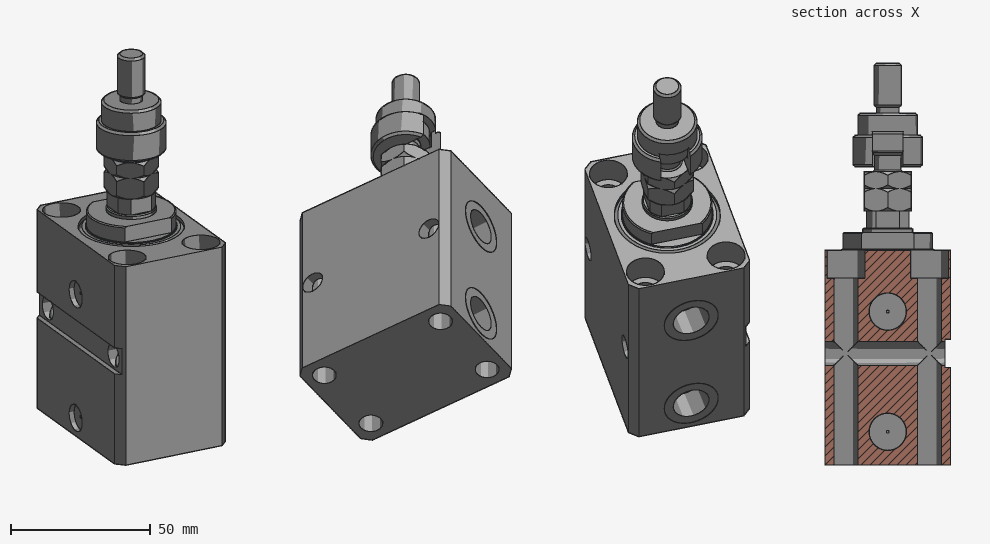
import cadquery as cq
import math


housing_length = 65.0
housing_width = 45.0
housing_height = 77.0
overall_height = 143.9
corner_chamfer = 3.0

hole_pitch_x = 50.1
hole_pitch_y = 30.0
mount_hole_diameter = 8.5
counterbore_diameter = 13.5
counterbore_depth = 10.1
cross_hole_diameter = 8.5
key_slot_height = 10.1
key_slot_depth = 2.0
key_slot_z = -37.0

port_heights = (-22.0, -65.0)
port_diameter = 13.2
port_depth = 11.5
spotface_diameter = 20.0
spotface_depth = 0.1
plug_heights = (-22.0, -70.0)
plug_diameter = 10.0
plug_depth = 2.0
pilot_diameter = 1.0
pilot_depth = 1.5

gland_diameter = 38.0
gland_depth = 14.4
gland_chamfer = 1.3
gland_step_diameter = 33.0
gland_step_height = 0.5
gland_step_chamfer = 0.3
flange_diameter = 32.1
flange_flats = 25.9
flange_top = 6.3
flange_chamfer = 0.5

rod_diameter = 18.0
rod_shoulder_z = 7.9
rod_shoulder_chamfer = 0.5
rod_end_diameter = 17.4
rod_end_flats = 15.3
rod_top = 14.0

hex_flats = 17.0
hex_chamfer = 1.3
lower_hex_height = 8.0
upper_hex_height = 6.0
neck_diameter = 9.6
neck_flare = 0.6
shoulder_height = 0.5
shoulder_taper_height = 1.2
head_diameter = 17.3
head_bottom = 35.4
head_top = 41.6

collar_diameter = 25.0
collar_bottom = 29.8
collar_top = 41.2
collar_chamfer = 0.9
disc_diameter = 21.5
disc_top = 49.0
disc_chamfer = 0.9
relief_diameter = 8.2
relief_top = 51.1
stud_diameter = 10.0
stud_chamfer = 0.9
stud_top = overall_height - housing_height
slot_width = 11.0
slot_top = 42.5
head_bore_diameter = 18.4


def cylinder(diameter, bottom, top):
    """Upright cylinder on the Z axis between two heights."""
    return cq.Workplane("XY").workplane(offset=bottom).circle(diameter / 2).extrude(top - bottom)


def between_flats(flats, width_y, bottom, top):
    """Upright block, used to trim a round shape to its flats."""
    block = cq.Workplane("XY").workplane(offset=bottom)
    return block.rect(flats, width_y).extrude(top - bottom)


def hole_along_x(diameter, height, start, depth):
    """Cutter for a hole drilled into the -X side, from X = start."""
    plane = cq.Workplane("YZ", origin=(start, 0, 0))
    return plane.center(0, height).circle(diameter / 2).extrude(depth)


def hole_along_y(diameter, x, height, start, depth):
    """Cutter for a hole drilled into the -Y side, from Y = start."""
    plane = cq.Workplane("XZ", origin=(0, start, 0))
    return plane.center(x, height).circle(diameter / 2).extrude(-depth)


def chamfered_hexagon(bottom, height):
    """Hexagon with flats facing +-Y and its corners chamfered at both ends."""
    corner_diameter = hex_flats / math.cos(math.pi / 6)
    prism = cq.Workplane("XY").workplane(offset=bottom).polygon(6, corner_diameter).extrude(height)
    envelope = cylinder(corner_diameter, bottom, bottom + height)
    envelope = envelope.faces("<Z or >Z").chamfer(hex_chamfer)
    return prism.intersect(envelope)


def make_housing():
    left = -housing_length / 2
    front = -housing_width / 2
    block = cq.Workplane("XY").rect(housing_length, housing_width).extrude(-housing_height)
    block = block.edges("|Z").chamfer(corner_chamfer)
    block = block.cut(cylinder(gland_diameter, -gland_depth, 0))

    block = (
        block.faces(">Z").workplane(origin=(0, 0, 0))
        .rect(hole_pitch_x, hole_pitch_y, forConstruction=True).vertices()
        .cboreHole(mount_hole_diameter, counterbore_diameter, counterbore_depth)
    )

    key_slot = (
        cq.Workplane("XY")
        .box(housing_length, key_slot_depth, key_slot_height)
        .translate((0, front + key_slot_depth / 2, key_slot_z))
    )
    block = block.cut(key_slot)
    for x in (-hole_pitch_x / 2, hole_pitch_x / 2):
        block = block.cut(hole_along_y(cross_hole_diameter, x, key_slot_z, front, housing_width))

    for height in port_heights:
        block = block.cut(hole_along_x(spotface_diameter, height, left, spotface_depth))
        block = block.cut(hole_along_x(port_diameter, height, left, port_depth))
        block = block.cut(hole_along_x(pilot_diameter, height, left, port_depth + pilot_depth))

    for height in plug_heights:
        block = block.cut(hole_along_y(plug_diameter, 0, height, front, plug_depth))
        block = block.cut(hole_along_y(pilot_diameter, 0, height, front, plug_depth + pilot_depth))
    return block


def make_gland():
    seat = cylinder(gland_diameter, -gland_depth, 0).faces(">Z").chamfer(gland_chamfer)
    step = cylinder(gland_step_diameter, 0, gland_step_height).faces(">Z").chamfer(gland_step_chamfer)
    flange = cylinder(flange_diameter, 0, flange_top).faces(">Z").chamfer(flange_chamfer)
    flange = flange.intersect(between_flats(flange_flats, flange_diameter, 0, flange_top))
    return seat.union(step).union(flange).cut(cylinder(rod_diameter, -gland_depth, flange_top))


def make_piston_rod():
    shaft = cylinder(rod_diameter, -gland_depth, rod_shoulder_z)
    shaft = shaft.faces(">Z").chamfer(rod_shoulder_chamfer)
    end = cylinder(rod_end_diameter, rod_shoulder_z, rod_top)
    end = end.intersect(between_flats(rod_end_flats, rod_end_flats, rod_shoulder_z, rod_top))
    return shaft.union(end)


def make_joint_stud():
    upper_hex_bottom = rod_top + lower_hex_height
    neck_bottom = upper_hex_bottom + upper_hex_height
    stud = chamfered_hexagon(rod_top, lower_hex_height)
    stud = stud.union(chamfered_hexagon(upper_hex_bottom, upper_hex_height))

    shoulder_bottom = head_bottom - shoulder_height
    neck_radius = neck_diameter / 2
    flare_radius = neck_radius + neck_flare
    head_radius = head_diameter / 2
    neck_and_head = (
        cq.Workplane("XZ")
        .moveTo(0, neck_bottom)
        .lineTo(flare_radius, neck_bottom)
        .lineTo(neck_radius, neck_bottom + neck_flare)
        .lineTo(neck_radius, shoulder_bottom - shoulder_taper_height)
        .lineTo(flare_radius, shoulder_bottom)
        .lineTo(flare_radius, head_bottom)
        .lineTo(head_radius, head_bottom)
        .lineTo(head_radius, head_top)
        .lineTo(0, head_top)
        .close()
        .revolve(360, (0, 0, 0), (0, 1, 0))
    )
    return stud.union(neck_and_head)


def make_coupling():
    collar = cylinder(collar_diameter, collar_bottom, collar_top)
    collar = collar.faces("<Z or >Z").chamfer(collar_chamfer)
    disc = cylinder(disc_diameter, collar_bottom + collar_chamfer, disc_top)
    disc = disc.faces(">Z").chamfer(disc_chamfer)
    relief = cylinder(relief_diameter, disc_top, relief_top)
    threaded_end = cylinder(stud_diameter, relief_top, stud_top)
    threaded_end = threaded_end.faces("<Z or >Z").chamfer(stud_chamfer)
    coupling = collar.union(disc).union(relief).union(threaded_end)

    slot_length = collar_diameter / 2
    slot = (
        cq.Workplane("XY")
        .box(slot_length, slot_width, slot_top - collar_bottom, centered=(False, True, False))
        .translate((-slot_length, 0, collar_bottom))
    )
    slot = slot.union(cylinder(slot_width, collar_bottom, slot_top))
    head_chamber = cylinder(head_bore_diameter, head_bottom, slot_top)
    return coupling.cut(slot).cut(head_chamber)


housing = make_housing()
gland = make_gland()
piston_rod = make_piston_rod()
joint_stud = make_joint_stud()
coupling = make_coupling()

result = cq.Compound.makeCompound([
    housing.val(),
    gland.val(),
    piston_rod.val(),
    joint_stud.val(),
    coupling.val(),
])